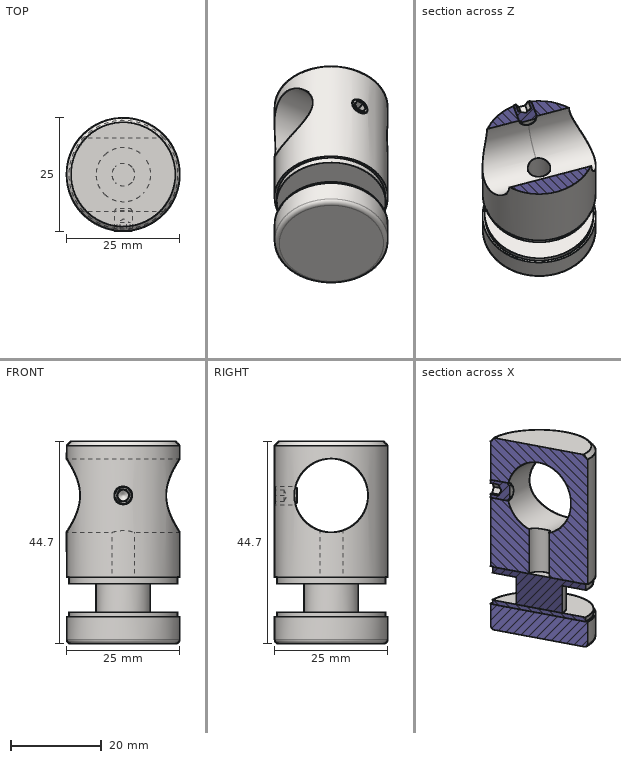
import cadquery as cq
import math

clamp_diameter = 25.0
washer_diameter = 24.0
sleeve_diameter = 12.0
cap_height = 6.0
washer_thickness = 1.0
sleeve_length = 6.2
flange_thickness = 1.5
housing_height = 30.0
edge_break = 1.0

washer_z = cap_height
sleeve_z = washer_z + washer_thickness
flange_z = sleeve_z + sleeve_length
housing_z = flange_z + flange_thickness
housing_top_z = housing_z + housing_height

bore_diameter = 16.2
bore_depth_below_top = 12.0
bore_z = housing_top_z - bore_depth_below_top

fixing_hole_diameter = 5.0

screw_diameter = 4.0
screw_length = 5.0
screw_head_y = -clamp_diameter / 2
screw_head_chamfer = 0.15
screw_tip_taper_length = 0.6
screw_tip_taper_depth = 0.4
socket_across_flats = 2.5
socket_depth = 2.0
socket_point_angle = 120.0


def disc(diameter, height, bottom_z):
    """Upright cylinder on the Z axis."""
    return cq.Workplane("XY", origin=(0, 0, bottom_z)).circle(diameter / 2).extrude(height)


def screw_plane():
    """Plane at the screw head, with its normal pointing into the housing (+Y)."""
    return cq.Workplane(cq.Plane(origin=(0, screw_head_y, bore_z), xDir=(1, 0, 0), normal=(0, 1, 0)))


def make_cap():
    return disc(clamp_diameter, cap_height, 0).faces("<Z").edges().fillet(edge_break)


def make_washer():
    return disc(washer_diameter, washer_thickness, washer_z)


def make_flanged_sleeve():
    flange = disc(washer_diameter, flange_thickness, flange_z)
    return flange.union(disc(sleeve_diameter, sleeve_length, sleeve_z))


def make_housing():
    body = disc(clamp_diameter, housing_height, housing_z).faces(">Z").edges().chamfer(edge_break)
    rail_bore = (
        cq.Workplane("YZ", origin=(0, 0, bore_z))
        .circle(bore_diameter / 2)
        .extrude(clamp_diameter / 2, both=True)
    )
    screw_hole = screw_plane().circle(screw_diameter / 2).extrude(screw_length)
    fixing_hole = disc(fixing_hole_diameter, bore_z - housing_z, housing_z)
    return body.cut(rail_bore).cut(screw_hole).cut(fixing_hole)


def make_set_screw():
    shank = screw_plane().circle(screw_diameter / 2).extrude(screw_length)
    shank = shank.faces("<Y").edges().chamfer(screw_head_chamfer)
    shank = shank.faces(">Y").edges().chamfer(screw_tip_taper_length, screw_tip_taper_depth)

    across_corners = socket_across_flats / math.cos(math.pi / 6)
    hexagon = screw_plane().polygon(6, across_corners).extrude(socket_depth)
    point_radius = socket_across_flats / 2
    point_depth = point_radius / math.tan(math.radians(socket_point_angle / 2))
    socket_floor_y = screw_head_y + socket_depth
    drill_point = (
        cq.Workplane("XY", origin=(0, socket_floor_y, bore_z))
        .polyline([(0, 0), (point_radius, 0), (0, point_depth)])
        .close()
        .revolve(360, (0, 0, 0), (0, 1, 0))
    )
    return shank.cut(hexagon).cut(drill_point)


cap = make_cap()
washer = make_washer()
flanged_sleeve = make_flanged_sleeve()
housing = make_housing()
set_screw = make_set_screw()

result = cq.Compound.makeCompound([
    cap.val(),
    washer.val(),
    flanged_sleeve.val(),
    housing.val(),
    set_screw.val(),
])